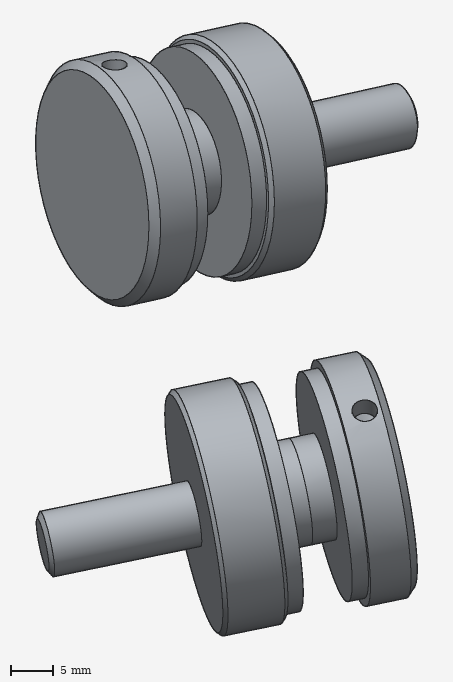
import cadquery as cq
import math

disc_diameter = 30.0
gasket_diameter = 28.0
collar_diameter = 13.0
stud_diameter = 8.0

cap_thickness = 6.0
gasket_thickness = 2.0
clamping_gap = 6.0
base_thickness = 8.0
overall_length = 42.5

cap_chamfer = 1.0
base_chamfer = 0.5
stud_tip_diameter = 6.38
stud_tip_length = 0.5

key_hole_diameter = 3.0
key_hole_depth = 3.0
key_hole_y = 3.0
drill_point_angle = 118.0
stud_engagement = 3.0

front_gasket_y = cap_thickness
gap_middle_y = front_gasket_y + gasket_thickness + clamping_gap / 2
base_y = front_gasket_y + 2 * gasket_thickness + clamping_gap
stud_front_y = cap_thickness - stud_engagement


def cylinder(diameter, y_start, y_end):
    """Cylinder on the Y axis between two stations."""
    return (
        cq.Workplane("XZ", origin=(0, y_start, 0))
        .circle(diameter / 2)
        .extrude(y_start - y_end)
    )


def make_key_hole():
    """Blind radial hole from the top of the cap, with a conical drill point."""
    radius = key_hole_diameter / 2
    point_depth = radius / math.tan(math.radians(drill_point_angle / 2))
    rim_z = disc_diameter / 2
    floor_z = rim_z - key_hole_depth
    return (
        cq.Workplane("XZ", origin=(0, key_hole_y, 0))
        .moveTo(0, rim_z)
        .lineTo(radius, rim_z)
        .lineTo(radius, floor_z)
        .lineTo(0, floor_z - point_depth)
        .close()
        .revolve(360, (0, 0, 0), (0, 1, 0))
    )


def make_stud():
    """Stud running from inside the cap to a tapered tip at the rear end."""
    taper_y = overall_length - stud_tip_length
    return (
        cq.Workplane("XY")
        .moveTo(0, stud_front_y)
        .lineTo(stud_diameter / 2, stud_front_y)
        .lineTo(stud_diameter / 2, taper_y)
        .lineTo(stud_tip_diameter / 2, overall_length)
        .lineTo(0, overall_length)
        .close()
        .revolve(360, (0, 0, 0), (0, 1, 0))
    )


def stud_bore():
    """Space taken by the stud within the other bodies."""
    return cylinder(stud_diameter, stud_front_y, overall_length)


def make_cap():
    """Front disc with a chamfered face, a key hole and a blind stud hole."""
    disc = cylinder(disc_diameter, 0, cap_thickness).faces("<Y").chamfer(cap_chamfer)
    return disc.cut(make_key_hole()).cut(stud_bore())


def make_gasket(back_y):
    """Flanged gasket whose collar reaches from its flange at back_y to the gap middle."""
    toward_middle = math.copysign(1, gap_middle_y - back_y)
    flange = cylinder(gasket_diameter, back_y, back_y + toward_middle * gasket_thickness)
    collar = cylinder(collar_diameter, back_y, gap_middle_y)
    return flange.union(collar).cut(stud_bore())


def make_base():
    """Rear disc chamfered on both rims, bored through for the stud."""
    disc = cylinder(disc_diameter, base_y, base_y + base_thickness)
    return disc.faces("<Y or >Y").chamfer(base_chamfer).cut(stud_bore())


cap = make_cap()
gaskets = [make_gasket(back_y) for back_y in (front_gasket_y, base_y)]
base = make_base()
stud = make_stud()

result = cq.Compound.makeCompound(
    [cap.val(), *[gasket.val() for gasket in gaskets], base.val(), stud.val()]
)